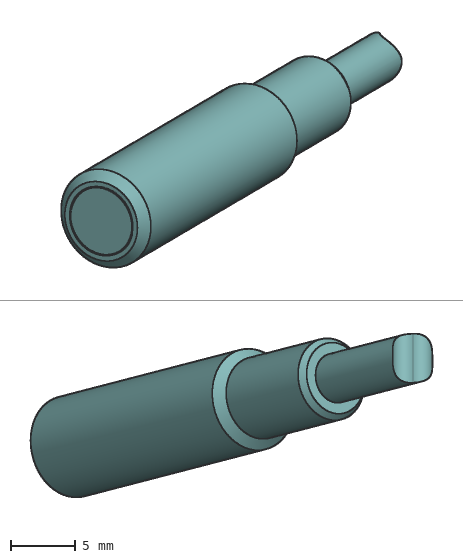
import cadquery as cq

total_length = 45.3
body_diameter = 8.0
sleeve_diameter = 6.5
cable_diameter = 3.9

body_end = 25.0
sleeve_end = 34.85
body_chamfer = (body_diameter - sleeve_diameter) / 2
sleeve_end_diameter = 5.6
sleeve_chamfer_length = 0.55

groove_inner_diameter = 5.5
groove_outer_diameter = 5.6
groove_depth = 0.15

break_rise = 0.5


def make_housing():
    """Chamfered body and sleeve, revolved about the Y axis."""
    body_radius = body_diameter / 2
    sleeve_radius = sleeve_diameter / 2
    profile = [
        (0, 0),
        (body_radius - body_chamfer, 0),
        (body_radius, body_chamfer),
        (body_radius, body_end - body_chamfer),
        (sleeve_radius, body_end),
        (sleeve_radius, sleeve_end - sleeve_chamfer_length),
        (sleeve_end_diameter / 2, sleeve_end),
        (0, sleeve_end),
    ]
    return cq.Workplane("XY").polyline(profile).close().revolve(360, (0, 0), (0, 1))


def make_cable():
    """Round cable whose end is cut to one crest and one trough."""
    radius = cable_diameter / 2
    break_middle = total_length - break_rise
    outline = (
        cq.Workplane("XY")
        .moveTo(-radius, body_end)
        .lineTo(-radius, break_middle)
        .threePointArc((-radius / 2, total_length), (0, break_middle))
        .threePointArc((radius / 2, break_middle - break_rise), (radius, break_middle))
        .lineTo(radius, body_end)
        .close()
        .extrude(radius, both=True)
    )
    rod = (
        cq.Workplane("XZ", origin=(0, body_end, 0))
        .circle(radius)
        .extrude(-(total_length - body_end))
    )
    return rod.intersect(outline)


def make_face_groove():
    return (
        cq.Workplane("XZ")
        .circle(groove_outer_diameter / 2)
        .circle(groove_inner_diameter / 2)
        .extrude(-groove_depth)
    )


result = make_housing().union(make_cable()).cut(make_face_groove())